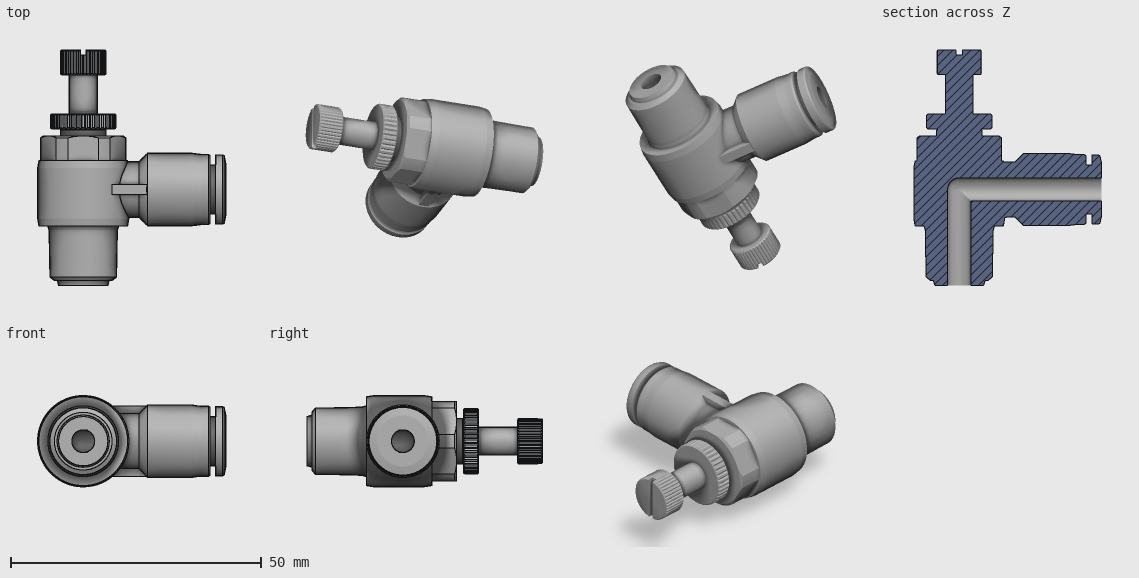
import cadquery as cq
import math


nose_top = 1.0
lead_in_top = 1.7
thread_top = 11.0
body_bottom = 11.85
body_top = 24.9
hex_top = 29.85
nut_bottom = 31.2
nut_top = 34.25
knob_bottom = 42.0
overall_height = 47.0

nose_tip_radius = 4.9
nose_root_radius = 5.2
lead_in_radius = 5.75
thread_small_radius = 6.65
thread_large_radius = 6.82
neck_radius = 7.07

body_radius = 9.1
body_chamfer_radial = 0.25
body_chamfer_axial = 1.5

hex_across_flats = 15.9
hex_corner_radius = 8.5
hex_chamfer_axial = 0.4

collar_radius = 4.55
collar_chamfer = 0.2
spindle_radius = 2.8
nut_radius = 6.55
nut_groove_depth = 0.3
knob_radius = 4.55
knob_groove_depth = 0.2
knurl_chamfer = 0.28
knurl_count = 40
knurl_pitch_angle = 360 / knurl_count
slot_width = 1.15
slot_depth = 1.0

port_axis_height = 19.15
port_neck_radius = 5.58
port_radius = 7.25
cone_start = 11.15
cone_end = 12.85
barrel_end = 21.6
sleeve_start = 23.6
sleeve_end = 25.3
sleeve_radius = 7.0
sleeve_chamfer_axial = 0.35
sleeve_chamfer_radial = 0.25
groove_end = 26.4
groove_radius = 4.9
release_ring_radius = 6.9
release_ring_end = 28.45
release_ring_bevel_start = 27.8
release_ring_bevel_end = 28.1
release_ring_bevel_radius = 6.75
release_ring_face_radius = 5.1

rib_width = 2.0
rib_span = 14.1

bore_radius = 2.27


def revolve_about_y(profile):
    """Turn a list of (radius, height) points about the main axis."""
    points = [(0, profile[0][1])] + profile + [(0, profile[-1][1])]
    return cq.Workplane("XY").polyline(points).close().revolve(360, (0, 0, 0), (0, 1, 0))


def cylinder_along_y(radius, bottom, top):
    return revolve_about_y([(radius, bottom), (radius, top)])


def make_threaded_end():
    return revolve_about_y([
        (nose_tip_radius, 0),
        (nose_root_radius, nose_top),
        (lead_in_radius, nose_top),
        (thread_small_radius, lead_in_top),
        (thread_large_radius, thread_top),
        (neck_radius, body_bottom),
    ])


def make_body():
    end_radius = body_radius - body_chamfer_radial
    return revolve_about_y([
        (end_radius, body_bottom),
        (body_radius, body_bottom + body_chamfer_axial),
        (body_radius, body_top - body_chamfer_axial),
        (end_radius, body_top),
    ])


def make_hexagon():
    across_corners = hex_across_flats / math.cos(math.pi / 6)
    prism = (
        cq.Workplane("XZ", origin=(0, body_top, 0))
        .polygon(6, across_corners)
        .extrude(body_top - hex_top)
    )
    turned_envelope = revolve_about_y([
        (hex_corner_radius, body_top),
        (hex_corner_radius, hex_top - hex_chamfer_axial),
        (hex_across_flats / 2, hex_top),
    ])
    return prism.intersect(turned_envelope)


def make_collar():
    return revolve_about_y([
        (collar_radius, hex_top),
        (collar_radius, nut_bottom - collar_chamfer),
        (collar_radius - collar_chamfer, nut_bottom),
    ])


def make_knurled_disc(radius, bottom, top, groove_depth, first_groove_angle):
    """Chamfered disc with straight 90-degree V grooves around its rim."""
    disc = revolve_about_y([
        (radius - knurl_chamfer, bottom),
        (radius, bottom + knurl_chamfer),
        (radius, top - knurl_chamfer),
        (radius - knurl_chamfer, top),
    ])
    cutter_height = 2 * groove_depth
    root = radius - groove_depth
    cutter = (
        cq.Workplane("XZ", origin=(0, bottom, 0))
        .polyline([
            (root, 0),
            (root + cutter_height, cutter_height),
            (root + cutter_height, -cutter_height),
        ])
        .close()
        .extrude(bottom - top)
    )
    grooves = [
        cutter.rotate((0, 0, 0), (0, 1, 0), first_groove_angle + i * knurl_pitch_angle).val()
        for i in range(knurl_count)
    ]
    return disc.cut(cq.Compound.makeCompound(grooves))


def make_nut():
    return make_knurled_disc(nut_radius, nut_bottom, nut_top, nut_groove_depth, knurl_pitch_angle / 2)


def make_knob():
    knob = make_knurled_disc(knob_radius, knob_bottom, overall_height, knob_groove_depth, 0)
    screwdriver_slot = cq.Workplane("XY").box(slot_width, 2 * slot_depth, 2 * knob_radius)
    return knob.cut(screwdriver_slot.translate((0, overall_height, 0)))


def make_port():
    profile = [
        (0, 0),
        (0, port_neck_radius),
        (cone_start, port_neck_radius),
        (cone_end, port_radius),
        (barrel_end, port_radius),
        (sleeve_start, sleeve_radius),
        (sleeve_end - sleeve_chamfer_axial, sleeve_radius),
        (sleeve_end, sleeve_radius - sleeve_chamfer_radial),
        (sleeve_end, groove_radius),
        (groove_end, groove_radius),
        (groove_end, release_ring_radius),
        (release_ring_bevel_start, release_ring_radius),
        (release_ring_bevel_end, release_ring_bevel_radius),
        (release_ring_end, release_ring_face_radius),
        (release_ring_end, 0),
    ]
    port = cq.Workplane("XY").polyline(profile).close().revolve(360, (0, 0, 0), (1, 0, 0))
    return port.translate((0, port_axis_height, 0))


def make_ribs():
    """One bar through the port neck leaves a rib on its +Z and -Z sides."""
    bar = cq.Workplane("XY").box(cone_end, rib_width, rib_span, centered=(False, True, True))
    return bar.translate((0, port_axis_height, 0))


def make_flow_passage():
    """Bore from the threaded tip, turning through a ball-shaped elbow into the port."""
    inlet = (
        cq.Workplane("XY")
        .lineTo(bore_radius, 0)
        .lineTo(bore_radius, port_axis_height)
        .radiusArc((0, port_axis_height + bore_radius), -bore_radius)
        .close()
        .revolve(360, (0, 0, 0), (0, 1, 0))
    )
    outlet = (
        cq.Workplane("YZ", origin=(0, port_axis_height, 0))
        .circle(bore_radius)
        .extrude(release_ring_end)
    )
    return inlet.union(outlet)


result = (
    make_threaded_end()
    .union(make_body())
    .union(make_hexagon())
    .union(make_collar())
    .union(cylinder_along_y(spindle_radius, hex_top, knob_bottom))
    .union(make_nut())
    .union(make_knob())
    .union(make_port())
    .union(make_ribs())
    .cut(make_flow_passage())
)